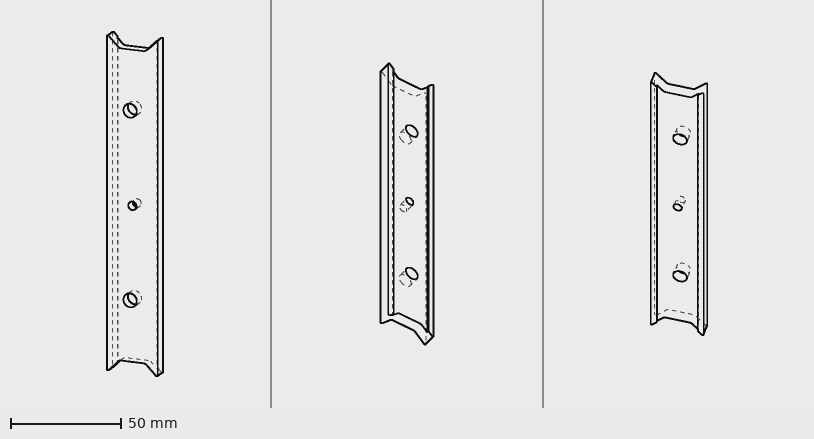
import cadquery as cq
import math

WIDTH = 25.0
THICKNESS = 6.4
LENGTH = 158.9

CHANNEL_WIDTH = 19.4
CHANNEL_DEPTH = 1.0

NOTCH_FLOOR_WIDTH = 12.7
NOTCH_FILLET = 2.0
TIP_FILLET = 0.51

CENTRE_HOLE_DIAMETER = 4.0
MOUNT_HOLE_DIAMETER = 6.5
MOUNT_HOLE_SPACING = 90.0
MOUNT_HOLE_OFFSET = -1.1


def make_bar():
    """Bar with rounded tips beside the notch at each end."""
    half_width = WIDTH / 2
    half_floor = NOTCH_FLOOR_WIDTH / 2
    sharp_tip_z = LENGTH / 2 + math.sqrt(2) * TIP_FILLET
    floor_z = sharp_tip_z - (half_width - half_floor)
    bar = (
        cq.Workplane("XZ")
        .moveTo(-half_width, -sharp_tip_z)
        .lineTo(-half_width, sharp_tip_z)
        .lineTo(-half_floor, floor_z)
        .lineTo(half_floor, floor_z)
        .lineTo(half_width, sharp_tip_z)
        .lineTo(half_width, -sharp_tip_z)
        .lineTo(half_floor, -floor_z)
        .lineTo(-half_floor, -floor_z)
        .close()
        .extrude(THICKNESS / 2, both=True)
    )
    reach = (half_width + half_floor) / 2
    floor_corners = cq.selectors.BoxSelector(
        (-reach, -THICKNESS, -LENGTH),
        (reach, THICKNESS, LENGTH),
    )
    bar = bar.edges("|Y").edges(floor_corners).fillet(NOTCH_FILLET)
    return bar.edges("|Y").edges("<X or >X").fillet(TIP_FILLET)


def make_channel():
    """Shallow full-length channel open on the +Y face."""
    centre_y = (THICKNESS - CHANNEL_DEPTH) / 2
    return (
        cq.Workplane("XY")
        .box(CHANNEL_WIDTH, CHANNEL_DEPTH, LENGTH)
        .translate((0, centre_y, 0))
    )


def make_holes(diameter, centres):
    """Cylinders through the thickness at (x, z) centres."""
    return (
        cq.Workplane("XZ", origin=(0, THICKNESS / 2, 0))
        .pushPoints(centres)
        .circle(diameter / 2)
        .extrude(THICKNESS)
    )


mount_centres = [(MOUNT_HOLE_OFFSET, side * MOUNT_HOLE_SPACING / 2) for side in (-1, 1)]

result = (
    make_bar()
    .cut(make_channel())
    .cut(make_holes(CENTRE_HOLE_DIAMETER, [(0, 0)]))
    .cut(make_holes(MOUNT_HOLE_DIAMETER, mount_centres))
)